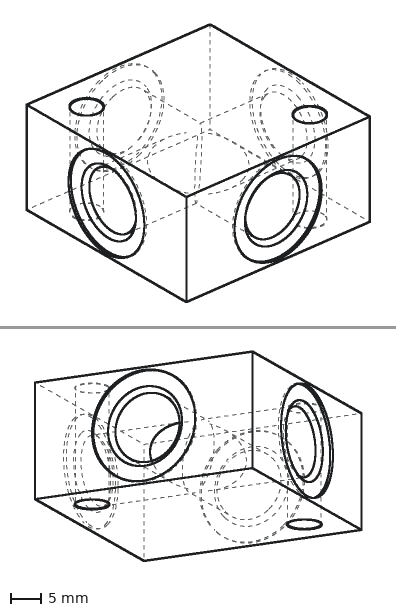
import cadquery as cq

block_side = 40.0
block_height = 20.0

bore_diameter = 11.8
spotface_diameter = 19.0
spotface_depth = 0.5
countersink_diameter = 13.6
countersink_depth = (countersink_diameter - bore_diameter) / 2

mounting_hole_diameter = 5.5
mounting_hole_offset = 13.0
mounting_hole_chamfer = 0.1


def port_cutter():
    """Solid of revolution about Y that cuts a full bore with both port mouths."""
    face = block_side / 2
    spotface_floor = face - spotface_depth
    countersink_bottom = spotface_floor - countersink_depth
    bore_radius = bore_diameter / 2
    countersink_radius = countersink_diameter / 2
    spotface_radius = spotface_diameter / 2
    return (
        cq.Workplane("XY")
        .moveTo(0, -face)
        .lineTo(spotface_radius, -face)
        .lineTo(spotface_radius, -spotface_floor)
        .lineTo(countersink_radius, -spotface_floor)
        .lineTo(bore_radius, -countersink_bottom)
        .lineTo(bore_radius, countersink_bottom)
        .lineTo(countersink_radius, spotface_floor)
        .lineTo(spotface_radius, spotface_floor)
        .lineTo(spotface_radius, face)
        .lineTo(0, face)
        .close()
        .revolve(360, (0, 0, 0), (0, 1, 0))
    )


def mounting_hole_cutter():
    """Solid of revolution about Z for one through hole, chamfered at both ends."""
    face = block_height / 2
    chamfer_bottom = face - mounting_hole_chamfer
    hole_radius = mounting_hole_diameter / 2
    mouth_radius = hole_radius + mounting_hole_chamfer
    return (
        cq.Workplane("XZ")
        .moveTo(0, -face)
        .lineTo(mouth_radius, -face)
        .lineTo(hole_radius, -chamfer_bottom)
        .lineTo(hole_radius, chamfer_bottom)
        .lineTo(mouth_radius, face)
        .lineTo(0, face)
        .close()
        .revolve(360, (0, 0, 0), (0, 1, 0))
    )


result = cq.Workplane("XY").box(block_side, block_side, block_height)
for port_angle in (0, 90):
    result = result.cut(port_cutter().rotate((0, 0, 0), (0, 0, 1), port_angle))
for hole_position in (-mounting_hole_offset, mounting_hole_offset):
    result = result.cut(mounting_hole_cutter().translate((hole_position, hole_position, 0)))